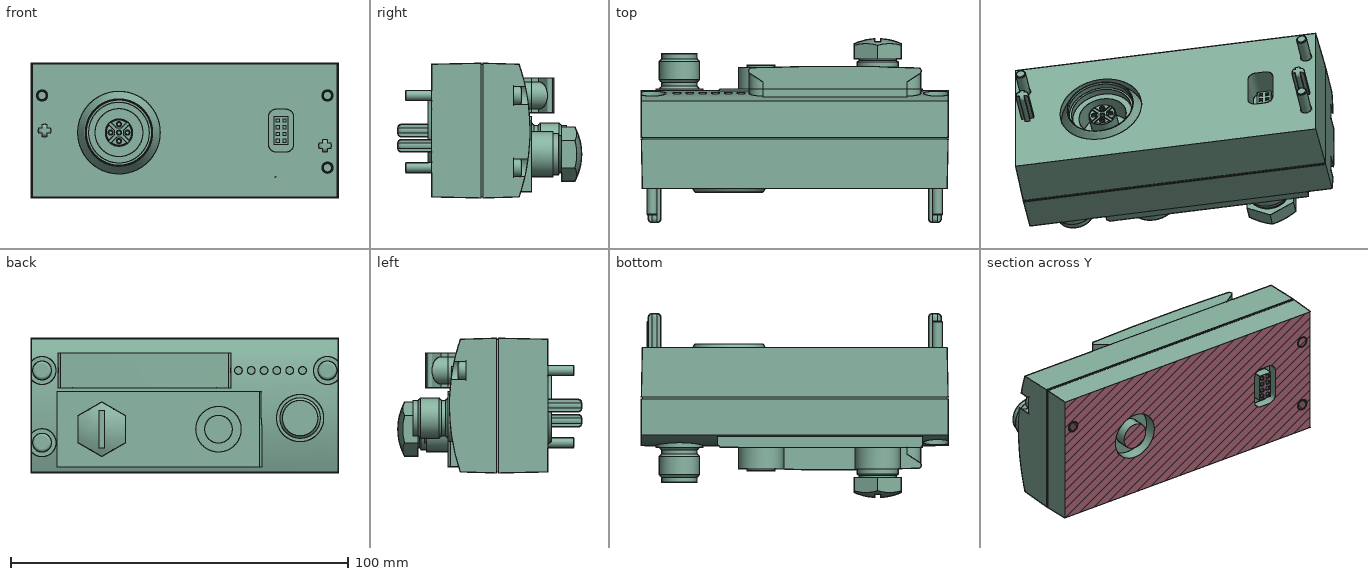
import cadquery as cq
import math


half_length = 45.5
half_width = 20.0
draft = 0.3
base_top = 14.7
gap = 0.5
gap_inset = 0.3
cover_bottom = base_top + gap
shoulder_y = 25.95
crown_y = 29.16
deck_y = 29.6

screw_x = 42.3
screw_high_z = 10.4
screw_low_z = -11.0
screw_places = [(-screw_x, screw_high_z), (screw_x, screw_high_z), (screw_x, screw_low_z)]
screw_dia = 3.0
screw_clearance_dia = 3.3
screw_tip_y = -7.8
screw_tip_chamfer = 0.27
screw_seat_y = 24.2
screw_head_dia = 5.6
screw_head_height = 2.4
screw_head_round = 0.8
counterbore_dia = 8.3

cross_pin_places = [(-41.55, 0.0), (41.55, -4.5)]
cross_pin_tip_y = -10.05
cross_pin_dia = 3.8
cross_pin_rib = 1.5
cross_pin_round = 1.1

socket_x, socket_z = -19.5, -0.6
socket_recess_dia = 24.5
socket_recess_depth = 2.5
seal_tip_y = -1.1
seal_tip_dia = 20.6
seal_tip_chamfer = 0.3
seal_bore_dia = 19.3
seal_mouth_dia = 19.8
seal_mouth_depth = 0.5
socket_bore_dia = 18.0
socket_step_y = 1.0
socket_floor_y = 3.0
socket_well_dia = 14.2
socket_well_depth = 7.0
core_dia = 8.1
core_chamfer = 0.3
core_tip_y = 2.1
contact_pitch_radius = 2.5
contact_dia = 1.5
contact_hole_dia = 1.1
contact_depth = 0.5
contact_hole_depth = 2.0
cross_groove_width = 1.0
cross_groove_centre = 2.6
cross_groove_depth = 0.3

header_x = 28.55
pocket_length, pocket_height, pocket_round = 7.5, 12.7, 2.3
pocket_depth = 9.0
header_length, header_height = 4.1, 8.3
header_tall = 3.0
contact_step = 2.0
header_columns, header_rows = 2, 4
header_contact = 1.0
header_contact_depth = 0.6

deck_left, deck_right = -22.9, 37.8
deck_low_z, deck_high_z = -18.2, 4.2
deck_chamfer = 0.8
port_z = -7.0
button_x = -10.0
plug_x = 24.6
port_dia = 13.5
port_top = 35.95
button_dia = 8.2
button_top = 36.6

light_first_x = -34.9
light_pitch = 3.8
light_count = 6
light_dia = 2.3
light_top = 28.55

holder_x, holder_z = 11.93, 10.45
holder_width = 10.4
holder_foot_half = 21.4
holder_lip_half = 24.95
holder_tip_half = 25.6
holder_lip_start_y = 31.65
holder_lip_y = 34.0
holder_tip_y = 35.0
holder_end_y = 35.8
holder_crown_y = 36.35
holder_post_dia = 8.15

connector_x, connector_z = -34.2, -3.7
connector_dia = 12.0
connector_neck_dia = 10.5
connector_flange_dia = 14.0
connector_seat_y = 26.0
connector_root_y = 30.4
connector_root_end_y = 31.5
connector_body_start_y = 32.3
connector_body_end_y = 37.7
connector_tip_start_y = 38.5
connector_tip_y = 40.0

plug_hex_flats = 14.0
plug_head_bottom = 38.5
plug_crown_y = 44.52
plug_dome_radius = 17.0
plug_dome_overhang = 0.5
plug_collar_dia = 12.2
plug_collar_top = 37.55
plug_neck_start = 38.0
plug_neck_dia = 11.0
plug_thread_dia = 10.11
plug_thread_bottom = 31.0
plug_slot_width = 1.7
plug_slot_depth = 0.95


def turned(points, x, z):
    """Solid of revolution about the Y direction at (x, z) from (radius, y) points."""
    return cq.Workplane("XY").polyline(points).close().revolve(360, (0, 0), (0, 1)).translate((x, 0, z))


def rod(dia, y_from, y_to, x, z):
    """Round bar along Y."""
    return turned([(0, y_from), (dia / 2, y_from), (dia / 2, y_to), (0, y_to)], x, z)


def block(x_from, x_to, y_from, y_to, z_from, z_to):
    """Axis-aligned box between two corners."""
    size = (x_to - x_from, y_to - y_from, z_to - z_from)
    return cq.Workplane("XY").box(*size, centered=False).translate((x_from, y_from, z_from))


def centred_block(length, height, y_from, y_to, x, z):
    """Box along Y centred on (x, z)."""
    return block(x - length / 2, x + length / 2, y_from, y_to, z - height / 2, z + height / 2)


def cross_pin(x, z):
    """Cross-section of two ribs inside a rounded-tip cylinder."""
    bullet = rod(cross_pin_dia, cross_pin_tip_y, 0, x, z).faces("<Y").edges().fillet(cross_pin_round)
    ribs = centred_block(cross_pin_dia, cross_pin_rib, cross_pin_tip_y, 0, x, z)
    ribs = ribs.union(centred_block(cross_pin_rib, cross_pin_dia, cross_pin_tip_y, 0, x, z))
    return bullet.intersect(ribs)


def socket_cutter():
    """Ring-shaped clearance around the conical seal plus the stepped socket bore."""
    recess = rod(socket_recess_dia, seal_tip_y, socket_recess_depth, socket_x, socket_z)
    well_floor = socket_floor_y + socket_well_depth
    bore = rod(socket_bore_dia, 0, socket_floor_y, socket_x, socket_z)
    well = rod(socket_well_dia, 0, well_floor, socket_x, socket_z)
    return recess.union(bore).union(well)


def socket_seal():
    """Conical sealing lip that stands slightly proud of the mounting face."""
    return turned(
        [
            (socket_bore_dia / 2, socket_recess_depth),
            (socket_recess_dia / 2, socket_recess_depth),
            (seal_tip_dia / 2, seal_tip_y + seal_tip_chamfer),
            (seal_tip_dia / 2 - seal_tip_chamfer, seal_tip_y),
            (seal_mouth_dia / 2, seal_tip_y),
            (seal_bore_dia / 2, seal_tip_y + seal_mouth_depth),
            (seal_bore_dia / 2, socket_step_y),
            (socket_bore_dia / 2, socket_step_y),
        ],
        socket_x,
        socket_z,
    )


def socket_core():
    """Contact carrier with a diagonal cross groove between four outer contacts and a central one."""
    well_floor = socket_floor_y + socket_well_depth
    core = rod(core_dia, core_tip_y, well_floor, socket_x, socket_z)
    core = core.faces("<Y").edges().chamfer(core_chamfer)
    groove_floor = core_tip_y + cross_groove_depth
    groove = centred_block(core_dia, cross_groove_width, core_tip_y, groove_floor, 0, 0)
    groove = groove.union(groove.rotate((0, 0, 0), (0, 1, 0), 90)).rotate((0, 0, 0), (0, 1, 0), 45)
    groove = groove.union(
        centred_block(cross_groove_centre, cross_groove_centre, core_tip_y, groove_floor, 0, 0)
    )
    core = core.cut(groove.translate((socket_x, 0, socket_z)))
    contacts = [(0.0, 0.0)]
    for quarter in range(4):
        angle = quarter * math.pi / 2
        contacts.append((contact_pitch_radius * math.cos(angle), contact_pitch_radius * math.sin(angle)))
    for dx, dz in contacts:
        x, z = socket_x + dx, socket_z + dz
        core = core.cut(rod(contact_dia, core_tip_y, core_tip_y + contact_depth, x, z))
        core = core.cut(rod(contact_hole_dia, core_tip_y, core_tip_y + contact_hole_depth, x, z))
    return core


def header():
    """Rectangular header with a grid of square contact openings, on the pocket floor."""
    tip_y = pocket_depth - header_tall
    body = centred_block(header_length, header_height, tip_y, pocket_depth, header_x, 0)
    for column in range(header_columns):
        for row in range(header_rows):
            x = header_x + (column - (header_columns - 1) / 2) * contact_step
            z = (row - (header_rows - 1) / 2) * contact_step
            opening = centred_block(header_contact, header_contact, tip_y, tip_y + header_contact_depth, x, z)
            body = body.cut(opening)
    return body


def make_base():
    taper = math.degrees(math.atan(draft / base_top))
    body = (
        cq.Workplane("XZ", origin=(0, base_top, 0))
        .rect(2 * half_length, 2 * half_width)
        .extrude(base_top, taper=taper)
    )
    lip_length = 2 * (half_length - gap_inset)
    lip_width = 2 * (half_width - gap_inset)
    body = body.union(centred_block(lip_length, lip_width, base_top, cover_bottom, 0, 0))

    pocket = centred_block(pocket_length, pocket_height, 0, pocket_depth, header_x, 0)
    body = body.cut(pocket.edges("|Y").fillet(pocket_round)).union(header())
    body = body.cut(socket_cutter()).union(socket_seal()).union(socket_core())
    for x, z in cross_pin_places:
        body = body.union(cross_pin(x, z))
    for x, z in screw_places:
        body = body.cut(rod(screw_clearance_dia, 0, cover_bottom, x, z))
    return body


def holder_pad(y_from):
    """Pad under the label holder: straight bar with a round post at each end."""
    bar = centred_block(2 * holder_foot_half, holder_width, y_from, deck_y, holder_x, holder_z)
    for side in (-1, 1):
        post_x = holder_x + side * holder_foot_half
        bar = bar.union(rod(holder_post_dia, y_from, deck_y, post_x, screw_high_z))
    return bar


def make_cover():
    shoulder_half = half_width - draft
    body = (
        cq.Workplane("YZ", origin=(-half_length, 0, 0))
        .moveTo(cover_bottom, -half_width)
        .lineTo(shoulder_y, -shoulder_half)
        .threePointArc((crown_y, 0), (shoulder_y, shoulder_half))
        .lineTo(cover_bottom, half_width)
        .close()
        .extrude(2 * half_length)
    )
    for index in range(light_count):
        x = light_first_x + index * light_pitch
        body = body.union(rod(light_dia, shoulder_y, light_top, x, screw_high_z))

    deck = block(deck_left, deck_right, cover_bottom, deck_y, deck_low_z, deck_high_z)
    body = body.union(deck.faces(">Y").edges("<X").chamfer(deck_chamfer))
    body = body.union(holder_pad(cover_bottom))
    for x in (button_x, plug_x):
        body = body.union(rod(port_dia, shoulder_y, port_top, x, port_z))
    body = body.union(rod(button_dia, shoulder_y, button_top, button_x, port_z))

    body = body.cut(rod(plug_thread_dia, plug_thread_bottom, port_top, plug_x, port_z))
    body = body.cut(rod(connector_flange_dia, connector_seat_y, deck_y, connector_x, connector_z))
    for x, z in screw_places:
        body = body.cut(rod(counterbore_dia, screw_seat_y, deck_y, x, z))
        body = body.cut(rod(screw_dia, cover_bottom, screw_seat_y, x, z))
    return body


def make_holder():
    """Dovetail rail with rounded lips, a crowned top and a round post under each lip."""
    rail = (
        cq.Workplane("XY", origin=(holder_x, 0, holder_z - holder_width / 2))
        .moveTo(-holder_foot_half, deck_y)
        .lineTo(-holder_foot_half, holder_lip_start_y)
        .lineTo(-holder_lip_half, holder_lip_y)
        .threePointArc((-holder_tip_half, holder_tip_y), (-holder_lip_half, holder_end_y))
        .threePointArc((0, holder_crown_y), (holder_lip_half, holder_end_y))
        .threePointArc((holder_tip_half, holder_tip_y), (holder_lip_half, holder_lip_y))
        .lineTo(holder_foot_half, holder_lip_start_y)
        .lineTo(holder_foot_half, deck_y)
        .close()
        .extrude(holder_width)
    )
    lip_slope = (holder_lip_y - holder_lip_start_y) / (holder_lip_half - holder_foot_half)
    post_outer_y = holder_lip_start_y + lip_slope * holder_post_dia / 2
    for side in (-1, 1):
        post_outer = side * (holder_foot_half + holder_post_dia / 2)
        under_lip = (
            cq.Workplane("XY", origin=(holder_x, 0, holder_z - holder_width / 2))
            .moveTo(0, deck_y)
            .lineTo(post_outer, deck_y)
            .lineTo(post_outer, post_outer_y)
            .lineTo(side * holder_foot_half, holder_lip_start_y)
            .lineTo(0, holder_lip_start_y)
            .close()
            .extrude(holder_width)
        )
        post_x = holder_x + side * holder_foot_half
        post = rod(holder_post_dia, deck_y, holder_tip_y, post_x, screw_high_z)
        rail = rail.union(post.intersect(under_lip))
    return rail


def make_connector():
    body_radius = connector_dia / 2
    neck_radius = connector_neck_dia / 2
    flange_radius = connector_flange_dia / 2
    return turned(
        [
            (0, connector_seat_y),
            (flange_radius, connector_seat_y),
            (flange_radius, deck_y),
            (body_radius, deck_y),
            (neck_radius, connector_root_y),
            (neck_radius, connector_root_end_y),
            (body_radius, connector_body_start_y),
            (body_radius, connector_body_end_y),
            (neck_radius, connector_tip_start_y),
            (neck_radius, connector_tip_y),
            (0, connector_tip_y),
        ],
        connector_x,
        connector_z,
    )


def make_plug():
    """Domed, slotted hexagon head on a collar, with its shank inside the port."""
    across_corners = plug_hex_flats / math.cos(math.pi / 6)
    head = (
        cq.Workplane("XZ", origin=(plug_x, plug_head_bottom, port_z))
        .transformed(rotate=(0, 0, 90))
        .polygon(6, across_corners)
        .extrude(plug_head_bottom - plug_crown_y)
    )
    rim_radius = across_corners / 2 + plug_dome_overhang
    rim_y = plug_crown_y - plug_dome_radius + math.sqrt(plug_dome_radius**2 - rim_radius**2)
    half_angle = math.asin(rim_radius / plug_dome_radius) / 2
    mid_x = plug_dome_radius * math.sin(half_angle)
    mid_y = plug_crown_y - plug_dome_radius * (1 - math.cos(half_angle))
    dome = (
        cq.Workplane("XY")
        .moveTo(0, plug_head_bottom)
        .lineTo(rim_radius, plug_head_bottom)
        .lineTo(rim_radius, rim_y)
        .threePointArc((mid_x, mid_y), (0, plug_crown_y))
        .close()
        .revolve(360, (0, 0), (0, 1))
        .translate((plug_x, 0, port_z))
    )
    head = head.intersect(dome)
    slot_floor = plug_crown_y - plug_slot_depth
    head = head.cut(
        centred_block(plug_slot_width, across_corners, slot_floor, plug_crown_y, plug_x, port_z)
    )
    shank = turned(
        [
            (0, plug_thread_bottom),
            (plug_thread_dia / 2, plug_thread_bottom),
            (plug_thread_dia / 2, port_top),
            (plug_collar_dia / 2, port_top),
            (plug_collar_dia / 2, plug_collar_top),
            (plug_neck_dia / 2, plug_neck_start),
            (plug_neck_dia / 2, plug_head_bottom),
            (0, plug_head_bottom),
        ],
        plug_x,
        port_z,
    )
    return head.union(shank)


def make_screw(x, z):
    shaft = rod(screw_dia, screw_tip_y, screw_seat_y, x, z).faces("<Y").edges().chamfer(screw_tip_chamfer)
    head_top = screw_seat_y + screw_head_height
    head = rod(screw_head_dia, screw_seat_y, head_top, x, z).faces(">Y").edges().fillet(screw_head_round)
    return shaft.union(head)


base = make_base()
cover = make_cover()
holder = make_holder()
connector = make_connector()
plug = make_plug()
screws = [make_screw(x, z) for x, z in screw_places]

result = cq.Compound.makeCompound(
    [base.val(), cover.val(), holder.val(), connector.val(), plug.val()] + [screw.val() for screw in screws]
)